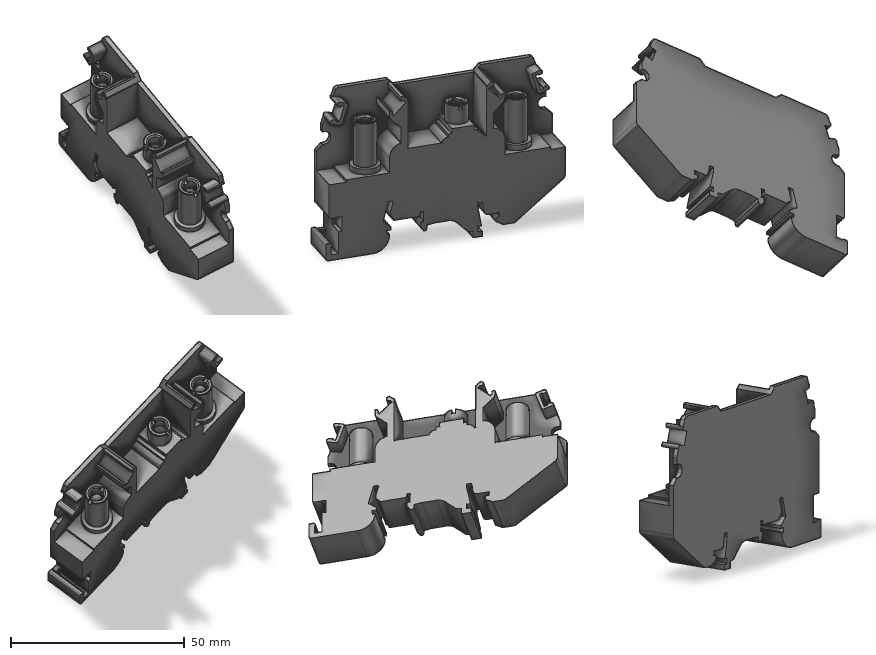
import cadquery as cq
import math

length = 74.0
depth = 12.0
height = 49.5
plate_thickness = 1.5
middle_x = 37.5
body_left = 2 * middle_x - length
body_right = length

shelf_z = 24.9
outer_shelf_z = 24.1
outer_shelf_left = 6.3
outer_shelf_right = 69.5

saddle_z = 47.5
ear_inner_x = 23.15
saddle_left = ear_inner_x + height - saddle_z

pocket_half_width = 12.1
pocket_floor_z = 31.75

screw_y = 5.55
side_screw_offset = 23.3
side_screw_diameter = 6.8
side_screw_top = 40.7
collar_diameter = 9.0
collar_height = 1.8
middle_screw_x = 42.5
middle_screw_diameter = 6.9
middle_screw_top = 41.8
bore_diameter = 4.0
bore_depth = 3.7
side_bore_boss_diameter = 3.1
side_bore_boss_height = 0.45
middle_bore_tip_depth = 1.2
bore_countersink = 0.5
screw_chamfer = 0.2
driver_slot_width = 1.2
driver_slot_depth = 1.55

pedestal_top_z = 35.75
pedestal_top_half = 3.55
pedestal_step_half = 4.65
pedestal_base_half = 6.7
pedestal_step_z = 34.2
pedestal_shoulder_z = 33.3

edge_notch_radius = 2.0
edge_notch_x = 3.5
edge_notch_z = 34.1

clip_x = 7.2
clip_z = 43.1
clip_tilt = 18.0
clip_depth = 6.0
clip_half_gap = 2.15
clip_wall = 1.0
clip_bend_radius = 0.7
clip_lip = 1.3
clip_upper_lip_length = 2.3
clip_lower_lip_length = 2.7
clip_relief_length = 0.9
clip_relief_height = 0.4
clip_relief_web = 0.5

foot_inner_x = 3.85
recess_top_z = 13.4
foot_channel_floor = 1.8
foot_channel_left = 1.6
foot_lip_x = 1.85
foot_web_top = 5.1
side_notch_right = 5.0
side_notch_bottom = 8.9
side_notch_depth = 5.1


def rounded_outline(corners):
    """Closed XZ wire through (x, z) or (x, z, radius) corners, radii becoming tangent arcs."""
    count = len(corners)
    wire = None
    for i in range(count):
        x, z = corners[i][:2]
        radius = corners[i][2] if len(corners[i]) == 3 else 0
        if radius:
            before = cq.Vector(*corners[i - 1][:2])
            after = cq.Vector(*corners[(i + 1) % count][:2])
            corner = cq.Vector(x, z)
            to_before = (before - corner).normalized()
            to_after = (after - corner).normalized()
            half_angle = to_before.getAngle(to_after) / 2
            setback = radius / math.tan(half_angle)
            bisector = (to_before + to_after).normalized()
            start = corner + to_before * setback
            end = corner + to_after * setback
            middle = corner + bisector * (radius / math.sin(half_angle) - radius)
        else:
            start = cq.Vector(x, z)
        if wire is None:
            wire = cq.Workplane("XZ").moveTo(start.x, start.y)
        else:
            wire = wire.lineTo(start.x, start.y)
        if radius:
            wire = wire.threePointArc((middle.x, middle.y), (end.x, end.y))
    return wire.close()


def slab(outline, front, back):
    """Extrude an XZ outline from y = front to y = back."""
    return outline.extrude(front - back).translate((0, front, 0))


def box(left, right, front, back, bottom, top):
    """Block between the given limits along X, Y and Z."""
    size = (right - left, back - front, top - bottom)
    return cq.Workplane("XY").box(*size, centered=False).translate((left, front, bottom))


def both_sides(shape):
    """Join a left-hand feature with its mirror image on the right."""
    return shape.union(shape.mirror("YZ", (middle_x, 0, 0)))


def lower_body():
    """Full-depth housing below the shelf, with the rail feet along its underside."""
    left_end_and_foot = [
        (outer_shelf_left, shelf_z),
        (outer_shelf_left, outer_shelf_z),
        (body_left, outer_shelf_z),
        (body_left, recess_top_z, 0.6),
        (foot_inner_x, recess_top_z, 0.3),
        (foot_inner_x, foot_channel_floor),
        (foot_channel_left, foot_channel_floor, 0.45),
        (foot_channel_left, 3.9),
        (foot_lip_x, 3.9),
        (foot_lip_x, foot_web_top),
        (1.3, 5.55),
        (0, 5.55, 0.6),
        (0, 0, 0.8),
        (19.7, 0, 5.25),
    ]
    left_spring_slot = [
        (19.7, 5.3),
        (18.95, 5.3),
        (18.7, 6.65),
        (20.1, 6.65),
        (20.1, 7.55),
        (17.7, 9.7),
        (19.25, 15.8, 0.4),
        (20.9, 15.8, 0.45),
        (19.9, 12.2),
        (19.9, 11.0, 0.3),
        (20.95, 10.1),
        (20.95, 9.55),
    ]
    middle_hook = [
        (28.85, 9.55),
        (29.15, 10.35),
        (29.15, 10.9),
        (30.1, 10.9),
        (30.1, 7.8),
        (29.2, 7.8, 0.2),
        (29.2, 6.15),
        (30.3, 4.65, 0.2),
        (30.9, 4.65, 0.2),
        (31.2, 5.3),
        (31.2, 6.4, 0.6),
        (33.7, 6.65),
        (39.45, 6.65, 3.7),
        (43.8, 2.3, 0.3),
    ]
    right_spring_slot = [
        (45.4, 2.0),
        (45.4, 0, 0.2),
        (48.3, 0),
        (48.3, 1.55),
        (47.0, 1.8),
        (47.0, 3.3),
        (48.1, 3.3),
        (47.0, 9.5),
        (47.0, 10.9),
        (48.4, 10.9, 0.4),
        (49.0, 6.65, 1.3),
        (53.65, 6.65),
    ]
    right_end = [
        (53.65, 5.3),
        (52.55, 5.3, 0.3),
        (52.55, 4.0),
        (54.75, 2.7),
        (58.3, 2.7, 1.1),
        (body_right, 14.65, 1.85),
        (body_right, outer_shelf_z),
        (outer_shelf_right, outer_shelf_z),
        (outer_shelf_right, shelf_z),
    ]
    corners = left_end_and_foot + left_spring_slot + middle_hook + right_spring_slot + right_end
    body = slab(rounded_outline(corners), 0, depth)
    foot_web = box(
        foot_channel_left, foot_inner_x, depth - plate_thickness, depth, foot_channel_floor, foot_web_top
    )
    side_notch = box(foot_inner_x, side_notch_right, 0, side_notch_depth, side_notch_bottom, recess_top_z)
    return body.union(foot_web).cut(side_notch)


def back_plate():
    """Thin rear wall with two raised ears and a round notch in each outer edge."""
    half = rounded_outline([
        (middle_x, outer_shelf_z),
        (body_left, outer_shelf_z),
        (body_left, 30.3),
        (2.95, 32.1),
        (2.95, 38.5, 1.5),
        (7.1, height, 1.2),
        (ear_inner_x, height),
        (saddle_left, saddle_z),
        (middle_x, saddle_z),
    ])
    plate = slab(half, depth - plate_thickness, depth)
    edge_notch = cq.Workplane("XZ").center(edge_notch_x, edge_notch_z).circle(edge_notch_radius)
    return both_sides(plate.cut(slab(edge_notch, 0, depth)))


def centre_block():
    """Full-depth block between the side screws, with hooked shoulders and an open pocket."""
    block_left = 19.7
    waist_x = 23.2
    lip_top_x = 24.0
    shoulder_radius = 4.15
    shoulder_z = 29.7
    half = rounded_outline([
        (middle_x, outer_shelf_z),
        (block_left, outer_shelf_z),
        (block_left, shoulder_z),
        (waist_x, shoulder_z + shoulder_radius),
        (waist_x, 38.6, 0.75),
        (block_left, 42.1, 1.5),
        (block_left, 44.5),
        (20.6, 44.5, 0.6),
        (20.6, 43.3),
        (21.0, 42.85),
        (24.7, 46.5),
        (24.1, 47.15, 0.4),
        (ear_inner_x, 47.15, 0.2),
        (ear_inner_x, 48.3),
        (lip_top_x, ear_inner_x + height - lip_top_x),
        (saddle_left, saddle_z),
        (middle_x, saddle_z),
    ])
    shoulder = cq.Workplane("XZ").center(block_left + shoulder_radius, shoulder_z).circle(shoulder_radius)
    block = both_sides(slab(half, 0, depth).union(slab(shoulder, 0, depth)))
    pocket = box(
        middle_x - pocket_half_width, middle_x + pocket_half_width,
        0, depth - plate_thickness, pocket_floor_z, height,
    )
    return block.cut(pocket)


def pedestal():
    """Stepped seat of the middle screw, with rounded flanks."""
    flank_mid_half = 5.9
    flank_mid_z = 32.85
    half = (
        cq.Workplane("XZ")
        .moveTo(0, pocket_floor_z)
        .lineTo(-pedestal_base_half, pocket_floor_z)
        .threePointArc((-flank_mid_half, flank_mid_z), (-pedestal_step_half, pedestal_shoulder_z))
        .lineTo(-pedestal_step_half, pedestal_step_z)
        .lineTo(-pedestal_top_half, pedestal_step_z)
        .lineTo(-pedestal_top_half, pedestal_top_z)
        .lineTo(0, pedestal_top_z)
    )
    outline = half.mirrorY()
    return slab(outline, 0, depth).translate((middle_screw_x, 0, 0))


def screw(diameter, bottom, top, floor_diameter, floor_rise):
    """Slotted screw on the Z axis. The bore floor is a cone that rises (or sinks) to floor_diameter."""
    bore_radius = bore_diameter / 2
    bore_bottom = top - bore_depth
    floor_z = bore_bottom + floor_rise
    shank = cq.Workplane("XY").workplane(offset=bottom).circle(diameter / 2).extrude(top - bottom)
    shank = shank.faces(">Z").chamfer(screw_chamfer)
    bore = (
        cq.Workplane("XZ")
        .moveTo(0, top)
        .lineTo(bore_radius + bore_countersink, top)
        .lineTo(bore_radius, top - bore_countersink)
        .lineTo(bore_radius, bore_bottom)
        .lineTo(floor_diameter / 2, floor_z)
    )
    if floor_diameter:
        bore = bore.lineTo(0, floor_z)
    bore = bore.close().revolve(360, (0, 0), (0, 1))
    slot = box(
        -diameter, diameter, -driver_slot_width / 2, driver_slot_width / 2, top - driver_slot_depth, top
    )
    return shank.cut(bore).cut(slot)


def side_screw():
    """Left terminal screw with its collar, slot along X."""
    collar = cq.Workplane("XY").workplane(offset=shelf_z).circle(collar_diameter / 2).extrude(collar_height)
    collar_top = shelf_z + collar_height
    shank = screw(
        side_screw_diameter, collar_top, side_screw_top, side_bore_boss_diameter, side_bore_boss_height
    )
    return collar.union(shank).translate((middle_x - side_screw_offset, screw_y, 0))


def middle_screw():
    """Short screw on the pedestal, with a conical bore tip and its slot along Y."""
    shank = screw(middle_screw_diameter, pedestal_top_z, middle_screw_top, 0, -middle_bore_tip_depth)
    return shank.rotate((0, 0, 0), (0, 0, 1), 90).translate((middle_screw_x, screw_y, 0))


def place_clip(shape):
    """Tilt a shape drawn about the origin and move it to the left marker clip."""
    return shape.rotate((0, 0, 0), (0, 1, 0), clip_tilt).translate((clip_x, 0, clip_z))


def clip_gap():
    """Clearance inside the clip jaws, cut through the plate edge."""
    half_width = clip_half_gap + clip_lip / 2
    return place_clip(box(-2 * clip_lower_lip_length, 0, 0, depth, -half_width, half_width))


def clip():
    """C-shaped marker clip, open to the left, with relieved inner corners."""
    outer_half = clip_half_gap + clip_lip
    relief_half = clip_half_gap + clip_relief_height
    jaws = slab(
        rounded_outline([
            (-clip_upper_lip_length, clip_half_gap, 0.6),
            (0, clip_half_gap),
            (0, -clip_half_gap),
            (-clip_lower_lip_length, -clip_half_gap, 0.8),
            (-clip_lower_lip_length, -outer_half, 0.4),
            (clip_wall, -outer_half, clip_bend_radius),
            (clip_wall, outer_half, clip_bend_radius),
            (-clip_upper_lip_length, outer_half, 0.6),
        ]),
        depth - clip_depth, depth,
    )
    relief = box(-clip_relief_length, 0, 0, depth - clip_relief_web, -relief_half, relief_half)
    return place_clip(jaws.cut(relief))


plate = back_plate().cut(both_sides(clip_gap()))
result = (
    lower_body()
    .union(plate)
    .union(centre_block())
    .union(pedestal())
    .union(both_sides(side_screw()))
    .union(middle_screw())
    .union(both_sides(clip()))
)